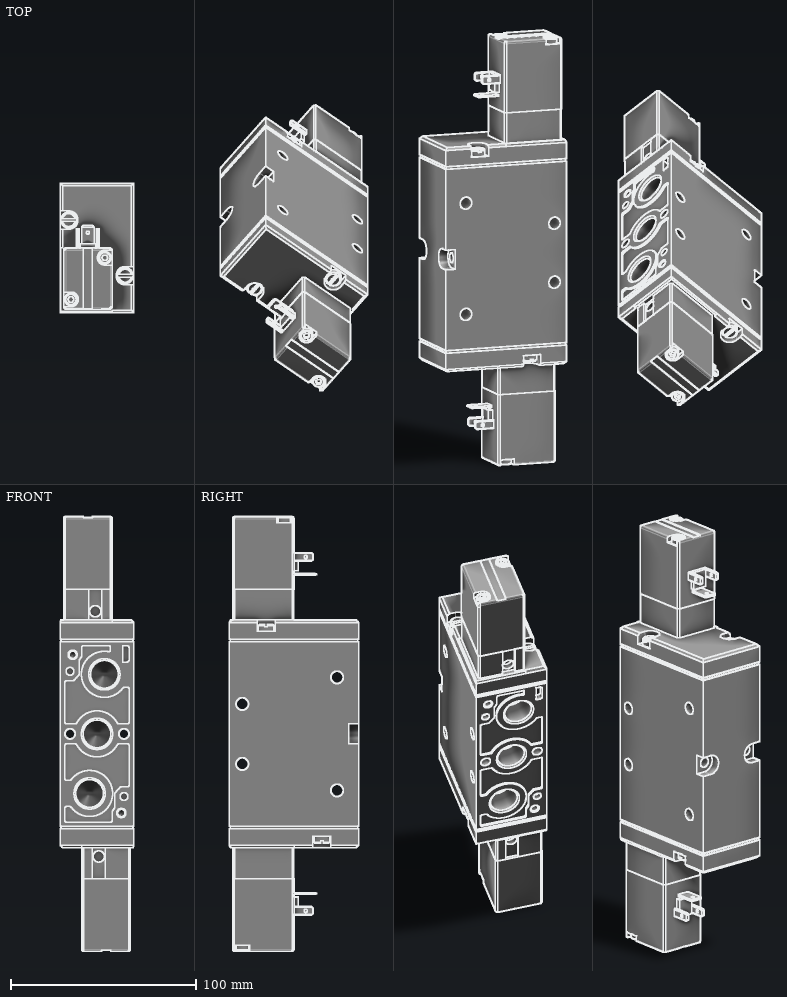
import cadquery as cq
BODY_WIDTH = 40.0
BODY_DEPTH = 70.0
CAP_TOP = 61.5
CAP_CHAMFER = 1.5
GROOVE_BOTTOM = 49.8
GROOVE_TOP = 51.2
GROOVE_DEPTH = 0.5
FRONT = -BODY_DEPTH / 2
BACK = BODY_DEPTH / 2
SIDE = BODY_WIDTH / 2
TOTAL_HEIGHT = 235.0

SEAT_LEFT = -19.5
SEAT_FRONT = -34.3

PORT_DIAMETER = 15.0
PORT_CHAMFER = 1.0
PORT_DEPTH = 14.0
PORT_CONE_HEIGHT = 4.5
PORT_OFFSET = 4.0
PORT_SPACING = 32.2

POCKET_DEPTH = 1.0
POCKET_HALF_WIDTH = 17.5
POCKET_OUTER = 47.7
POCKET_INNER = 5.5
POCKET_CORNER = 1.0
PORT_LAND_RADIUS = 12.5
LAND_BRANCH = 7.0
STRIP_END = 7.3
STRIP_START = -8.2
NECK_LEFT = -9.6
NECK_TOP = 39.7
NECK_STEP_TOP = 41.8
NECK_BOTTOM = 32.0
SHOULDER_X = -12.7
SHOULDER_Z = 28.7

SLOT_LEFT = 13.9
SLOT_BOTTOM = 38.8
SLOT_DEPTH = 3.5
SLOT_CORNER = 1.5

SCREW_HOLE_X, SCREW_HOLE_Z = -13.2, 42.8
SCREW_HOLE_DIAMETER = 4.0
SCREW_HOLE_CHAMFER = 0.5
SCREW_HOLE_DEPTH = 7.0
SCREW_HOLE_CONE = 1.2
LOCATING_HOLE_X, LOCATING_HOLE_Z = -14.5, 33.8
LOCATING_HOLE_DIAMETER = 4.2
LOCATING_HOLE_DEPTH = 3.5

MOUNT_X = 14.5
MOUNT_DIAMETER = 5.5
MOUNT_SEAT_WIDTH = 10.8
MOUNT_SEAT_DEPTH = 5.5

CROSS_DIAMETER = 6.5
CROSS_BACK_Y, CROSS_BACK_Z = 23.3, 30.5
CROSS_FRONT_Y, CROSS_FRONT_Z = -28.0, 16.2

CAP_SCREW_X, CAP_SCREW_Y = 15.3, 15.0
CAP_RECESS_WIDTH = 9.9
CAP_RECESS_DEPTH = 6.0
CAP_HEAD_DIAMETER = 8.5
CAP_HEAD_DROP = 2.4
CAP_HEAD_CHAMFER = 0.7
DRIVER_SLOT_WIDTH = 1.5
DRIVER_SLOT_DEPTH = 1.5

PILOT_LEFT, PILOT_RIGHT = -18.0, 8.2
PILOT_FRONT, PILOT_BACK = -33.1, 0.0
PILOT_TOP = TOTAL_HEIGHT / 2
COIL_BOTTOM = 78.3
COIL_FILLET = 1.2
PILOT_CHAMFER = 1.0
BASE_INSET = 0.12
PILOT_MID_X = (PILOT_LEFT + PILOT_RIGHT) / 2

CHANNEL_CENTRE_X = -1.0
CHANNEL_WIDTH = 7.0
CHANNEL_DEPTH = 1.5
OVERRIDE_DIAMETER = 6.0
OVERRIDE_Z = 66.3
OVERRIDE_DEPTH = 3.5

TOP_CHANNEL_WIDTH = 5.0
TOP_CHANNEL_DEPTH = 0.5

PILOT_SCREW_X, PILOT_SCREW_Y = 9.2, 11.3
PILOT_RECESS_WIDTH = 8.0
PILOT_RECESS_DEPTH = 3.3
PILOT_HEAD_DIAMETER = 6.5
PILOT_HEAD_DROP = 0.2
PILOT_HEAD_CHAMFER = 0.5
SOCKET_DIAMETER = 3.3
SOCKET_DEPTH = 1.9

BOSS_WIDTH = 8.5
BOSS_LENGTH = 2.4
BOSS_BOTTOM = 88.1
PIN_HALF_SPACING = 5.5
PIN_Z = 95.6
PIN_THICKNESS = 1.6
PIN_HEIGHT = 4.7
PIN_LENGTH = 10.3
PIN_TIP_BEVEL = 1.0
PIN_EDGE_BEVEL = 0.5
EARTH_Z = 86.2
EARTH_WIDTH = 6.8
EARTH_THICKNESS = 1.0
EARTH_LENGTH = 12.2
EARTH_TIP_THICKNESS = 0.2
EARTH_BEVEL = 1.0
CONTACT_HOLE_DIAMETER = 1.6
PIN_HOLE_Y = 6.3
EARTH_HOLE_Y = 8.2


def box(x_min, x_max, y_min, y_max, z_min, z_max):
    """Box between two opposite corners."""
    return cq.Workplane("XY").box(
        x_max - x_min, y_max - y_min, z_max - z_min, centered=False
    ).translate((x_min, y_min, z_min))


def turned(shape):
    """The shape turned half a turn about Y, from the upper end to the lower end."""
    return shape.rotate((0, 0, 0), (0, 1, 0), 180)


def front_plane(y):
    """Workplane facing -Y, with local axes X and Z."""
    return cq.Workplane("XZ", origin=(0, y, 0))


def front_drill(x, z, diameter, depth, start_y=FRONT):
    """Flat-bottomed drill running in +Y from start_y."""
    return front_plane(start_y).center(x, z).circle(diameter / 2).extrude(-depth)


def front_cone(x, z, start_diameter, height, start_y, end_diameter=0):
    """Cone running in +Y from start_y."""
    cone = cq.Solid.makeCone(
        start_diameter / 2, end_diameter / 2, height, cq.Vector(x, start_y, z), cq.Vector(0, 1, 0)
    )
    return cq.Workplane(obj=cone)


def pointed_drill(x, z, diameter, depth, cone_height, chamfer):
    """Drill into the front face with a chamfered mouth and a conical tip."""
    mouth = front_cone(x, z, diameter + 2 * chamfer, chamfer, FRONT, diameter)
    tip = front_cone(x, z, diameter, cone_height, FRONT + depth)
    return front_drill(x, z, diameter, depth).union(mouth).union(tip)


def open_recess(x, y, width, depth, top, edge_x):
    """Round recess sunk from z = top that runs out to the side at x = edge_x."""
    bottom = top - depth
    round_end = cq.Workplane("XY", origin=(x, y, bottom)).circle(width / 2).extrude(depth)
    run_out = box(min(x, edge_x), max(x, edge_x), y - width / 2, y + width / 2, bottom, top)
    return round_end.union(run_out)


def upper_pocket(full_width_strip):
    """Pocket beside the upper port; its outer strip stops short unless it is full width."""
    if full_width_strip:
        strip_end = [
            (POCKET_HALF_WIDTH, POCKET_OUTER),
            (POCKET_HALF_WIDTH, PORT_SPACING + LAND_BRANCH),
            (STRIP_END, PORT_SPACING + LAND_BRANCH),
        ]
    else:
        strip_end = [(STRIP_END, POCKET_OUTER)]
    outline = [
        (STRIP_START, POCKET_OUTER),
        *strip_end,
        (STRIP_END, PORT_SPACING - LAND_BRANCH),
        (POCKET_HALF_WIDTH, PORT_SPACING - LAND_BRANCH),
        (POCKET_HALF_WIDTH, POCKET_INNER),
        (-POCKET_HALF_WIDTH, POCKET_INNER),
        (-POCKET_HALF_WIDTH, SHOULDER_Z),
        (SHOULDER_X, SHOULDER_Z),
        (NECK_LEFT, NECK_BOTTOM),
        (NECK_LEFT, NECK_TOP),
        (STRIP_START, NECK_STEP_TOP),
    ]
    pocket = front_plane(FRONT).polyline(outline).close().extrude(-POCKET_DEPTH)
    for x, z in [(0, 0), (PORT_OFFSET, PORT_SPACING)]:
        pocket = pocket.cut(front_drill(x, z, 2 * PORT_LAND_RADIUS, POCKET_DEPTH))
    return pocket.edges("|Y").fillet(POCKET_CORNER)


def front_slot():
    """Narrow slot beside the upper pocket."""
    slot = box(SLOT_LEFT, POCKET_HALF_WIDTH, FRONT, FRONT + SLOT_DEPTH, SLOT_BOTTOM, POCKET_OUTER)
    return slot.edges("|Y and >X").fillet(SLOT_CORNER)


def upper_front_holes():
    """Upper port and the two small holes beside it."""
    port = pointed_drill(
        PORT_OFFSET, PORT_SPACING, PORT_DIAMETER, PORT_DEPTH, PORT_CONE_HEIGHT, PORT_CHAMFER
    )
    screw_hole = pointed_drill(
        SCREW_HOLE_X, SCREW_HOLE_Z, SCREW_HOLE_DIAMETER,
        SCREW_HOLE_DEPTH, SCREW_HOLE_CONE, SCREW_HOLE_CHAMFER,
    )
    locating_hole = front_drill(
        LOCATING_HOLE_X, LOCATING_HOLE_Z, LOCATING_HOLE_DIAMETER, LOCATING_HOLE_DEPTH
    )
    return port.union(screw_hole).union(locating_hole)


def mounting_hole(side):
    """Mounting hole on one side (+1 or -1) with its seat in the back face."""
    x = side * MOUNT_X
    seat_y = BACK - MOUNT_SEAT_DEPTH
    half = MOUNT_SEAT_WIDTH / 2
    hole = front_drill(x, 0, MOUNT_DIAMETER, BODY_DEPTH)
    seat = front_drill(x, 0, MOUNT_SEAT_WIDTH, MOUNT_SEAT_DEPTH, seat_y)
    edge_x = side * SIDE
    run_out = box(min(x, edge_x), max(x, edge_x), seat_y, BACK, -half, half)
    return hole.union(seat).union(run_out)


def cross_holes():
    """Four holes through the body along X."""
    centres = [
        (y, sign * z)
        for y, z in [(CROSS_BACK_Y, CROSS_BACK_Z), (CROSS_FRONT_Y, CROSS_FRONT_Z)]
        for sign in (1, -1)
    ]
    plane = cq.Workplane("YZ", origin=(-SIDE, 0, 0))
    return plane.pushPoints(centres).circle(CROSS_DIAMETER / 2).extrude(BODY_WIDTH)


def cap_screw(x, y):
    """Head of a slotted screw standing on the floor of its recess."""
    floor = CAP_TOP - CAP_RECESS_DEPTH
    height = CAP_RECESS_DEPTH - CAP_HEAD_DROP
    radius = CAP_HEAD_DIAMETER / 2
    head = cq.Workplane("XY", origin=(x, y, floor)).circle(radius).extrude(height)
    head = head.faces(">Z").chamfer(CAP_HEAD_CHAMFER)
    half_slot = DRIVER_SLOT_WIDTH / 2
    top = floor + height
    driver_slot = box(
        x - radius, x + radius, y - half_slot, y + half_slot, top - DRIVER_SLOT_DEPTH, top
    )
    return head.cut(driver_slot)


def pilot_seat():
    """Steeply bevelled block that fills the cap's chamfer under the pilot."""
    top_width = PILOT_RIGHT - SEAT_LEFT
    top_depth = PILOT_BACK - SEAT_FRONT
    bottom = cq.Workplane("XY", origin=(-SIDE, FRONT, CAP_TOP - CAP_CHAMFER))
    bottom = bottom.rect(PILOT_RIGHT + SIDE, PILOT_BACK - FRONT, centered=False)
    top = bottom.workplane(origin=(SEAT_LEFT, SEAT_FRONT, 0), offset=CAP_CHAMFER)
    return top.rect(top_width, top_depth, centered=False).loft(ruled=True)


def upper_cap():
    """End cap with the joint groove below it, the pilot seat and two screws."""
    neck = box(
        GROOVE_DEPTH - SIDE, SIDE - GROOVE_DEPTH, FRONT + GROOVE_DEPTH, BACK - GROOVE_DEPTH,
        GROOVE_BOTTOM, GROOVE_TOP,
    )
    cap = box(-SIDE, SIDE, FRONT, BACK, GROOVE_TOP, CAP_TOP).faces(">Z").chamfer(CAP_CHAMFER)
    cap = cap.union(neck).union(pilot_seat())
    for side in (1, -1):
        x = side * CAP_SCREW_X
        y = -side * CAP_SCREW_Y
        cap = cap.cut(open_recess(x, y, CAP_RECESS_WIDTH, CAP_RECESS_DEPTH, CAP_TOP, side * SIDE))
        cap = cap.union(cap_screw(x, y))
    return cap


def make_valve_body():
    """Block and both end caps with all ports, pockets and holes."""
    body = box(-SIDE, SIDE, FRONT, BACK, -GROOVE_BOTTOM, GROOVE_BOTTOM)
    cap = upper_cap()
    body = body.union(cap).union(turned(cap))

    body = body.cut(upper_pocket(full_width_strip=False))
    body = body.cut(turned(upper_pocket(full_width_strip=True)))
    body = body.cut(front_slot())

    holes = upper_front_holes()
    body = body.cut(holes).cut(turned(holes))
    body = body.cut(
        pointed_drill(0, 0, PORT_DIAMETER, PORT_DEPTH, PORT_CONE_HEIGHT, PORT_CHAMFER)
    )
    for side in (1, -1):
        body = body.cut(mounting_hole(side))
    return body.cut(cross_holes())


def pilot_screw(x, y):
    """Head of a socket screw standing on the floor of its recess."""
    floor = PILOT_TOP - PILOT_RECESS_DEPTH
    height = PILOT_RECESS_DEPTH - PILOT_HEAD_DROP
    head = cq.Workplane("XY", origin=(x, y, floor)).circle(PILOT_HEAD_DIAMETER / 2).extrude(height)
    head = head.faces(">Z").chamfer(PILOT_HEAD_CHAMFER)
    socket = cq.Workplane("XY", origin=(x, y, floor + height)).polygon(6, SOCKET_DIAMETER)
    return head.cut(socket.extrude(-SOCKET_DEPTH))


def pilot_base():
    """Base block with bevelled edges, the upright channel and the override hole."""
    base = box(
        PILOT_LEFT + BASE_INSET, PILOT_RIGHT - BASE_INSET,
        PILOT_FRONT + BASE_INSET, PILOT_BACK - BASE_INSET, CAP_TOP, COIL_BOTTOM,
    )
    base = base.edges("|Z").chamfer(PILOT_CHAMFER)
    channel_floor = PILOT_FRONT + BASE_INSET + CHANNEL_DEPTH
    half = CHANNEL_WIDTH / 2
    channel = box(
        CHANNEL_CENTRE_X - half, CHANNEL_CENTRE_X + half,
        PILOT_FRONT, channel_floor, CAP_TOP, COIL_BOTTOM,
    )
    override = front_drill(
        CHANNEL_CENTRE_X, OVERRIDE_Z, OVERRIDE_DIAMETER, OVERRIDE_DEPTH, channel_floor
    )
    return base.cut(channel).cut(override)


def pilot_coil():
    """Coil housing with bevelled corners, a rounded end, the end channel and two socket screws."""
    coil = box(PILOT_LEFT, PILOT_RIGHT, PILOT_FRONT, PILOT_BACK, COIL_BOTTOM, PILOT_TOP)
    coil = coil.edges("|Z").chamfer(PILOT_CHAMFER).faces(">Z").edges().fillet(COIL_FILLET)
    half = TOP_CHANNEL_WIDTH / 2
    channel = box(
        PILOT_MID_X - half, PILOT_MID_X + half,
        PILOT_FRONT, PILOT_BACK, PILOT_TOP - TOP_CHANNEL_DEPTH, PILOT_TOP,
    )
    coil = coil.cut(channel)
    mid_y = (PILOT_FRONT + PILOT_BACK) / 2
    for side, edge_x in [(1, PILOT_RIGHT), (-1, PILOT_LEFT)]:
        x = PILOT_MID_X + side * PILOT_SCREW_X
        y = mid_y + side * PILOT_SCREW_Y
        coil = coil.cut(
            open_recess(x, y, PILOT_RECESS_WIDTH, PILOT_RECESS_DEPTH, PILOT_TOP, edge_x)
        )
        coil = coil.union(pilot_screw(x, y))
    return coil


def contact_pin(x):
    """Upright contact blade, bevelled along its edges and at its tip."""
    half = PIN_THICKNESS / 2
    y_tip = PILOT_BACK + PIN_LENGTH
    blade = box(x - half, x + half, PILOT_BACK, y_tip, PIN_Z - PIN_HEIGHT / 2, PIN_Z + PIN_HEIGHT / 2)
    blade = blade.edges("|X and >Y").chamfer(PIN_TIP_BEVEL).edges("|Y").chamfer(PIN_EDGE_BEVEL)
    hole = cq.Workplane("YZ", origin=(x, PILOT_BACK + PIN_HOLE_Y, PIN_Z))
    return blade.cut(hole.circle(CONTACT_HOLE_DIAMETER / 2).extrude(half, both=True))


def earth_blade():
    """Flat earth contact that thins and narrows towards its tip, with a hole."""
    half_thickness = EARTH_THICKNESS / 2
    half_tip = EARTH_TIP_THICKNESS / 2
    y_tip = PILOT_BACK + EARTH_LENGTH
    profile = [
        (PILOT_BACK, -half_thickness),
        (y_tip - EARTH_BEVEL, -half_thickness),
        (y_tip, -half_tip),
        (y_tip, half_tip),
        (y_tip - EARTH_BEVEL, half_thickness),
        (PILOT_BACK, half_thickness),
    ]
    blade = cq.Workplane("YZ", origin=(PILOT_MID_X, 0, EARTH_Z)).polyline(profile).close()
    blade = blade.extrude(EARTH_WIDTH / 2, both=True)
    blade = blade.faces(">Y").edges("|Z").chamfer(EARTH_BEVEL)
    hole = cq.Workplane("XY", origin=(PILOT_MID_X, PILOT_BACK + EARTH_HOLE_Y, EARTH_Z))
    return blade.cut(hole.circle(CONTACT_HOLE_DIAMETER / 2).extrude(half_thickness, both=True))


def contact_boss():
    """Block behind the contact pins."""
    half = BOSS_WIDTH / 2
    return box(
        PILOT_MID_X - half, PILOT_MID_X + half,
        PILOT_BACK, PILOT_BACK + BOSS_LENGTH, BOSS_BOTTOM, PIN_Z + PIN_HEIGHT / 2,
    )


def make_pilot():
    """Upper solenoid pilot: base, coil and contacts as one solid."""
    pilot = pilot_base().union(pilot_coil()).union(contact_boss()).union(earth_blade())
    for side in (1, -1):
        pilot = pilot.union(contact_pin(PILOT_MID_X + side * PIN_HALF_SPACING))
    return pilot


valve_body = make_valve_body()
upper_pilot = make_pilot()
pilots = [upper_pilot, turned(upper_pilot)]

result = cq.Compound.makeCompound([valve_body.val(), *[pilot.val() for pilot in pilots]])